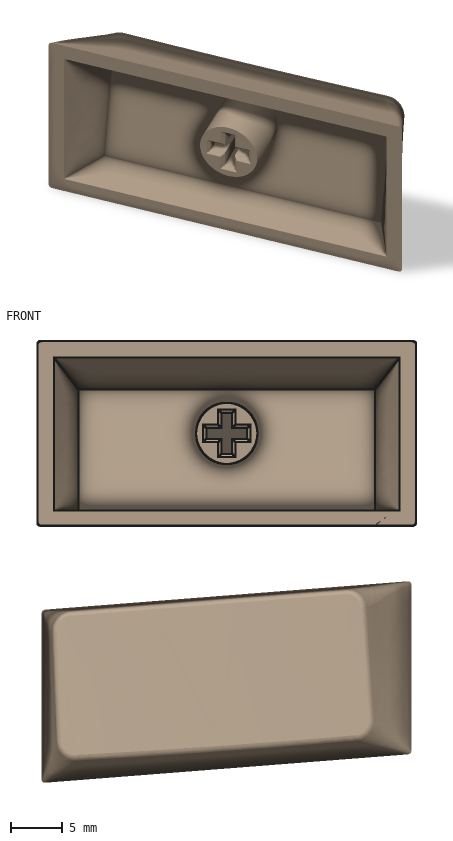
import cadquery as cq
import math


BASE_WIDTH = 37.1
BASE_HEIGHT = 18.1
BASE_CORNER_RADIUS = 0.35

TOP_WIDTH = 31.1
TOP_UPPER_Y = 8.8
TOP_LOWER_Y = 5.9
UPPER_WALL_SETBACK = 3.8
TOP_CORNER_RADIUS = 1.9
SECTION_COUNT = 7

DISH_RADIUS = 300.0
DISH_UPPER_DEPTH = 0.45
DISH_UPPER_SHIFT = -1.0
DISH_LOWER_DEPTH = 0.69
DISH_LOWER_SHIFT = -5.0
TOP_EDGE_RADIUS = 0.5

WALL = 1.62
LOWER_WALL = 1.5
TOP_THICKNESS = 1.38
FLOOR_WIDTH = 29.05

STEM_DIAMETER = 6.0
STEM_RECESS = 0.9
CROSS_LENGTH = 4.0
CROSS_ARM_WIDTH = 1.05
CROSS_CHAMFER = 0.33

half_height = BASE_HEIGHT / 2
top_upper_z = half_height - UPPER_WALL_SETBACK
top_rise = TOP_UPPER_Y - TOP_LOWER_Y
top_climb = top_upper_z + half_height
top_length = math.hypot(top_rise, top_climb)
out_of_top = cq.Vector(0, top_climb, -top_rise) / top_length


def rectangle_wire(lower, upper, width, corner_radius=0.0):
    """Rectangle centred on X whose long sides pass through two (y, z) points."""
    height = math.dist(lower, upper)
    centre = cq.Vector(0, lower[0] + upper[0], lower[1] + upper[1]) / 2
    normal = cq.Vector(0, lower[1] - upper[1], upper[0] - lower[0])
    plane = cq.Plane(origin=centre, xDir=(1, 0, 0), normal=normal)
    sketch = cq.Sketch().rect(width, height)
    if corner_radius:
        sketch = sketch.vertices().fillet(corner_radius)
    return sketch.reset().faces().val().moved(plane.location).outerWire()


def between(start, end, fraction):
    return start + (end - start) * fraction


def make_skirt():
    """Tapered body whose corner radius eases from the base value to the top value."""
    sections = []
    for index in range(SECTION_COUNT):
        fraction = index / (SECTION_COUNT - 1)
        eased = fraction**2 * (3 - 2 * fraction)
        lower = (TOP_LOWER_Y * fraction, -half_height)
        upper = (TOP_UPPER_Y * fraction, between(half_height, top_upper_z, fraction))
        width = between(BASE_WIDTH, TOP_WIDTH, fraction)
        radius = between(BASE_CORNER_RADIUS, TOP_CORNER_RADIUS, eased)
        sections.append(rectangle_wire(lower, upper, width, radius))
    return cq.Workplane(cq.Solid.makeLoft(sections))


def make_dish():
    """Cylinder lying along the slanted top and overrunning it at both ends."""
    upper_lift = out_of_top * (DISH_RADIUS - DISH_UPPER_DEPTH)
    lower_lift = out_of_top * (DISH_RADIUS - DISH_LOWER_DEPTH)
    upper_centre = cq.Vector(DISH_UPPER_SHIFT, TOP_UPPER_Y, top_upper_z) + upper_lift
    lower_centre = cq.Vector(DISH_LOWER_SHIFT, TOP_LOWER_Y, -half_height) + lower_lift
    axis = upper_centre - lower_centre
    axis_start = lower_centre - axis / 2
    return cq.Workplane(cq.Solid.makeCylinder(DISH_RADIUS, 2 * axis.Length, axis_start, axis))


def make_cavity():
    """Tapered hollow with a flat floor parallel to the slanted top."""
    top_slope = top_rise / top_climb
    wall_slope = UPPER_WALL_SETBACK / TOP_UPPER_Y
    thickness_along_y = TOP_THICKNESS / out_of_top.y

    def floor_y(z):
        return TOP_LOWER_Y + (z + half_height) * top_slope - thickness_along_y

    lower_z = LOWER_WALL - half_height
    upper_z = half_height - WALL
    floor_upper_z = (upper_z - wall_slope * floor_y(0)) / (1 + wall_slope * top_slope)
    opening = rectangle_wire((0, lower_z), (0, upper_z), BASE_WIDTH - 2 * WALL)
    floor = rectangle_wire(
        (floor_y(lower_z), lower_z), (floor_y(floor_upper_z), floor_upper_z), FLOOR_WIDTH
    )
    return cq.Workplane(cq.Solid.makeLoft([opening, floor], True))


def cross_sketch(margin=0.0):
    """Cross outline, grown outwards by a margin on every side."""
    length = CROSS_LENGTH + 2 * margin
    arm_width = CROSS_ARM_WIDTH + 2 * margin
    return cq.Sketch().rect(length, arm_width).rect(arm_width, length).clean()


def make_stem():
    """Stem running past the cavity floor, with a chamfered cross socket right through it."""
    face = cq.Workplane("XZ", origin=(0, STEM_RECESS, 0))
    stem = face.circle(STEM_DIAMETER / 2).extrude(-TOP_UPPER_Y)
    socket = face.placeSketch(cross_sketch()).extrude(-TOP_UPPER_Y)
    mouth = face.placeSketch(
        cross_sketch(CROSS_CHAMFER),
        cross_sketch().moved(cq.Location(cq.Vector(0, 0, -CROSS_CHAMFER))),
    ).loft(ruled=True)
    return stem.cut(socket).cut(mouth)


shell = make_skirt().cut(make_dish())
dished_face = cq.selectors.DirectionMinMaxSelector(out_of_top, True)
shell = shell.faces(dished_face).edges().fillet(TOP_EDGE_RADIUS)
result = shell.cut(make_cavity().cut(make_stem()))